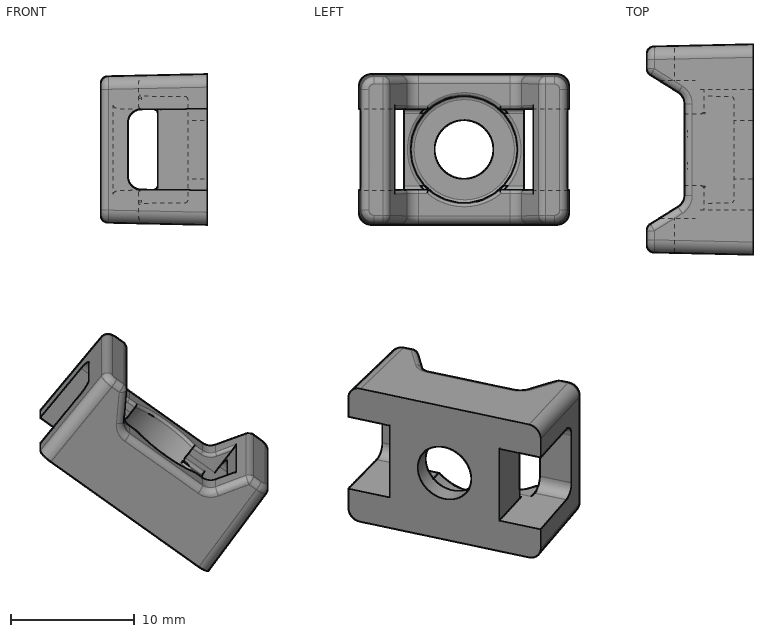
import cadquery as cq
import math

LENGTH_X = 8.64
WIDTH_Y = 17.04
HEIGHT_Z = 12.22
BODY_DRAFT = math.tan(math.radians(1.25))
CORNER_RADIUS = 1.05
RIM_RADIUS = 0.63
MARGIN = 1.0

TIP_X = -LENGTH_X
SADDLE_X = -5.59
SADDLE_CORNER_Y = 4.30
SADDLE_FLARE = math.tan(math.radians(32))
SADDLE_RADIUS = 1.08
TIP_INNER_Y = SADDLE_CORNER_Y + (SADDLE_X - TIP_X) * SADDLE_FLARE

SLOT_FRONT_X = -6.42
SLOT_FRONT_HEIGHT = 6.44
SLOT_DRAFT = math.tan(math.radians(0.65))
SLOT_CORNER_RADIUS = 1.05
WINDOW_WIDTH = 11.16
WINDOW_BACK_HEIGHT = SLOT_FRONT_HEIGHT
WINDOW_DRAFT = math.tan(math.radians(1.5))
WINDOW_EDGE_RADIUS = 0.28

BLOCK_FRONT_X = -4.03
BLOCK_WIDTH = 9.72
BLOCK_ROOT_RADIUS = 0.3

BORE_FLOOR_RADIUS = 4.30
BORE_FLOOR_X = -1.6
BORE_DRAFT = math.tan(math.radians(0.9))
BORE_ROOT_RADIUS = 0.25
BORE_LIP_RADIUS = 0.26
HOLE_RADIUS = 2.365


def nearest(x, y, z):
    """Selector for the edge whose middle is closest to a point."""
    return cq.selectors.NearestToPointSelector((x, y, z))


def symmetric_prism(plane, half_outline, depth):
    """Prism about the origin from half an outline mirrored across the X axis."""
    outline = half_outline + [(x, -side) for x, side in reversed(half_outline)]
    return cq.Workplane(plane).polyline(outline).close().extrude(depth / 2, both=True)


def make_body():
    """Drafted saddle with rounded long corners and a rounded front rim."""
    half_width = WIDTH_Y / 2
    half_height = HEIGHT_Z / 2
    draft_inset = LENGTH_X * BODY_DRAFT
    plan = [
        (0, half_width),
        (TIP_X, half_width - draft_inset),
        (TIP_X, TIP_INNER_Y),
        (SADDLE_X, SADDLE_CORNER_Y),
    ]
    side = [(0, half_height), (TIP_X, half_height - draft_inset)]
    body = symmetric_prism("XY", plan, HEIGHT_Z).intersect(symmetric_prism("XZ", side, WIDTH_Y))

    for y in (SADDLE_CORNER_Y, -SADDLE_CORNER_Y):
        body = body.edges(nearest(SADDLE_X, y, 0)).fillet(SADDLE_RADIUS)
    for y in (TIP_INNER_Y, -TIP_INNER_Y):
        body = body.edges(nearest(TIP_X, y, 0)).fillet(RIM_RADIUS)
    for y in (half_width, -half_width):
        for z in (half_height, -half_height):
            body = body.edges(nearest(TIP_X / 2, y, z)).fillet(CORNER_RADIUS)
    return body.edges(nearest(SADDLE_X, 0, half_height)).fillet(RIM_RADIUS)


def slot_half_height(x):
    """Half the slot height at a position along its drafted walls."""
    return SLOT_FRONT_HEIGHT / 2 + (x - SLOT_FRONT_X) * SLOT_DRAFT


def make_slot():
    """Drafted strap slot across the part, open at the mounting face, rounded at its front."""
    half_outline = [(x, slot_half_height(x)) for x in (SLOT_FRONT_X, MARGIN)]
    slot = symmetric_prism("XZ", half_outline, WIDTH_Y + MARGIN)
    return slot.edges("|Y and <X").fillet(SLOT_CORNER_RADIUS)


def make_block():
    """Material between the slots at the two ends, reaching the slot walls above and below."""
    half_outline = [(x, slot_half_height(x)) for x in (BLOCK_FRONT_X, MARGIN)]
    return symmetric_prism("XZ", half_outline, BLOCK_WIDTH)


def make_window():
    """Opening between the flanges that flares slightly toward the saddle."""
    back_half = WINDOW_BACK_HEIGHT / 2
    tip_half = back_half + (BLOCK_FRONT_X - TIP_X) * WINDOW_DRAFT
    return symmetric_prism("XZ", [(TIP_X, tip_half), (BLOCK_FRONT_X, back_half)], WINDOW_WIDTH)


def cut_strap_passage(body):
    """Open the side slot and the front window, leaving the central block."""
    body = body.cut(make_window())
    for z in (WINDOW_BACK_HEIGHT / 2, -WINDOW_BACK_HEIGHT / 2):
        body = body.edges(nearest(SADDLE_X, 0, z)).fillet(WINDOW_EDGE_RADIUS)
    body = body.cut(make_slot().cut(make_block()))
    block_half_height = slot_half_height(BLOCK_FRONT_X)
    for z in (block_half_height, -block_half_height):
        body = body.edges(nearest(BLOCK_FRONT_X, 0, z)).fillet(BLOCK_ROOT_RADIUS)
    return body


def bore_radius(x):
    """Counterbore radius at a position along its drafted wall."""
    return BORE_FLOOR_RADIUS + (BORE_FLOOR_X - x) * BORE_DRAFT


def make_bore():
    """Drafted counterbore with a rounded floor corner."""
    profile = [
        (TIP_X, 0),
        (TIP_X, bore_radius(TIP_X)),
        (BORE_FLOOR_X, BORE_FLOOR_RADIUS),
        (BORE_FLOOR_X, 0),
    ]
    bore = cq.Workplane("XY").polyline(profile).close().revolve(360, (0, 0, 0), (1, 0, 0))
    return bore.edges(">X").fillet(BORE_ROOT_RADIUS)


def make_lip(face_x):
    """Flared ring that rounds the counterbore's edge over at a face."""
    inner_x = face_x + BORE_LIP_RADIUS
    inner_radius = bore_radius(inner_x)
    outer_radius = inner_radius + BORE_LIP_RADIUS
    arc_inset = BORE_LIP_RADIUS * (1 - math.sqrt(0.5))
    return (cq.Workplane("XY").moveTo(face_x, 0).lineTo(face_x, outer_radius)
            .threePointArc((face_x + arc_inset, inner_radius + arc_inset), (inner_x, inner_radius))
            .lineTo(inner_x, 0).close().revolve(360, (0, 0, 0), (1, 0, 0)))


def cut_screw_seat(body):
    """Bore the screw hole and its counterbore with a rounded floor and lip."""
    hole = cq.Workplane("YZ").workplane(offset=TIP_X).circle(HOLE_RADIUS).extrude(LENGTH_X + MARGIN)
    saddle_lip = make_lip(SADDLE_X)
    block_lip = make_lip(BLOCK_FRONT_X).intersect(
        cq.Workplane("XY").box(2 * LENGTH_X, WIDTH_Y, WINDOW_BACK_HEIGHT))
    return body.cut(make_bore()).cut(hole).cut(saddle_lip).cut(block_lip)


result = cut_screw_seat(cut_strap_passage(make_body()))